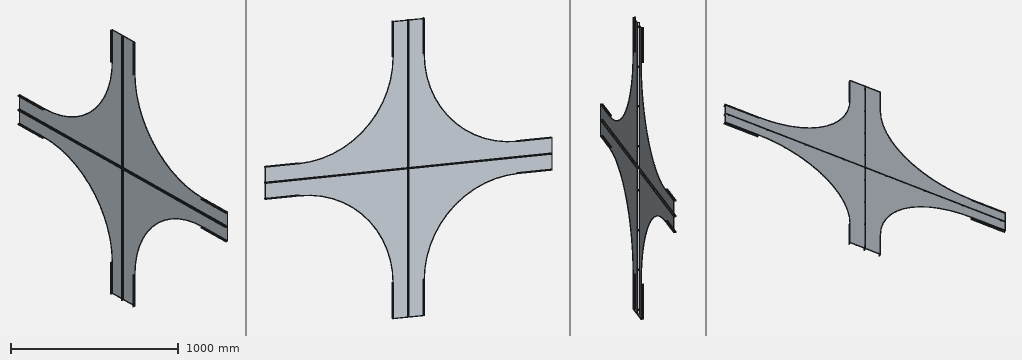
import cadquery as cq
import math

SPAN = 1834.0
DEPTH = 15.5
SHEET = 2.0

ARM_WIDTH = 200.0
CORNER_RADIUS = 598.0
ARM_TIP = SPAN / 2
ARM_HALF_WIDTH = ARM_WIDTH / 2
ARM_START = ARM_HALF_WIDTH + CORNER_RADIUS
ARM_LENGTH = ARM_TIP - ARM_START

BACK = DEPTH / 2
FRONT = -DEPTH / 2

HOLE_DIAMETER = 7.0
HOLE_COUNT = 4
FIRST_HOLE = 140.0
HOLE_ROW_LENGTH = 750.0
HOLE_PITCH = HOLE_ROW_LENGTH / (HOLE_COUNT - 1)

SLOT_HEIGHT = 5.0
SLOT_END_MARGIN = 2.0
SLOT_LENGTH = ARM_LENGTH - 2 * SLOT_END_MARGIN

DIAGONAL_NORMAL = (1, 0, -1)
QUADRANT_COUNT = 4


def make_panel():
    """Flat quarter of the cross, bounded by the joint lines and the corner arc."""
    arc_middle = ARM_START - CORNER_RADIUS * math.sqrt(0.5)
    return (
        cq.Workplane("XZ", origin=(0, BACK, 0))
        .lineTo(ARM_TIP, 0)
        .lineTo(ARM_TIP, ARM_HALF_WIDTH)
        .lineTo(ARM_START, ARM_HALF_WIDTH)
        .threePointArc((arc_middle, arc_middle), (ARM_HALF_WIDTH, ARM_START))
        .lineTo(ARM_HALF_WIDTH, ARM_TIP)
        .lineTo(0, ARM_TIP)
        .close()
        .extrude(SHEET)
    )


def make_flange(start_x, bottom_z):
    """Full-depth strip along X from start_x to the arm tip."""
    return (
        cq.Workplane("XY", origin=(start_x, FRONT, bottom_z))
        .box(ARM_TIP - start_x, DEPTH, SHEET, centered=False)
    )


def make_bolt_holes():
    """Cutters for the hole row in the joint flange along X."""
    hole_centers = [(FIRST_HOLE + i * HOLE_PITCH, 0) for i in range(HOLE_COUNT)]
    return cq.Workplane("XY").pushPoints(hole_centers).circle(HOLE_DIAMETER / 2).extrude(SHEET)


def make_rim_flange():
    """Slotted flange along the straight outer edge of the arm along X."""
    bottom_z = ARM_HALF_WIDTH - SHEET
    slot = (
        cq.Workplane("XY", origin=(ARM_START + SLOT_END_MARGIN, -SLOT_HEIGHT / 2, bottom_z))
        .box(SLOT_LENGTH, SLOT_HEIGHT, SHEET, centered=False)
    )
    return make_flange(ARM_START, bottom_z).cut(slot)


def across_diagonal(shape):
    """Mirror image that exchanges the X and Z directions."""
    return shape.mirror(DIAGONAL_NORMAL)


def make_quadrant():
    """Quarter of the cross in +X +Z: a panel with joint and rim flanges on both arms."""
    joint_flange = make_flange(0, 0)
    rim_flange = make_rim_flange()
    bolt_holes = make_bolt_holes()
    quadrant = make_panel()
    for flange in (joint_flange, rim_flange):
        quadrant = quadrant.union(flange).union(across_diagonal(flange))
    return quadrant.cut(bolt_holes).cut(across_diagonal(bolt_holes))


quadrants = []
for index in range(QUADRANT_COUNT):
    angle = index * 360 / QUADRANT_COUNT
    quadrants.append(make_quadrant().rotate((0, 0, 0), (0, 1, 0), angle))

result = cq.Compound.makeCompound([quadrant.solids().val() for quadrant in quadrants])